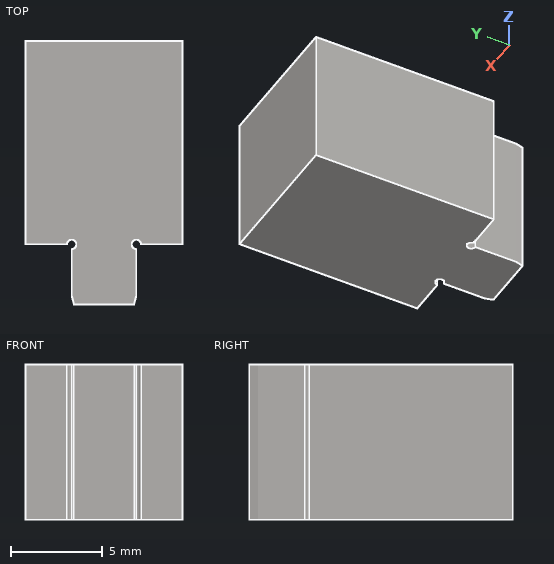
import cadquery as cq
import math

body_width = 8.64
body_depth = 11.18
height = 8.53

overall_depth = 14.48
tongue_depth = overall_depth - body_depth
tongue_width = 3.556
tip_inset = 0.127
tip_angle = 15.0
tip_taper_depth = tip_inset / math.tan(math.radians(tip_angle))

relief_radius = 0.254


def make_body():
    """Block whose -Y face, the shoulder, lies at Y = 0."""
    return cq.Workplane("XY").rect(body_width, body_depth).extrude(height).translate((0, body_depth / 2, 0))


def make_tongue():
    """Full-height tongue reaching from the shoulder toward -Y."""
    half_width = tongue_width / 2
    half_tip = half_width - tip_inset
    taper_start = tip_taper_depth - tongue_depth
    outline = [
        (-half_width, 0),
        (-half_width, taper_start),
        (-half_tip, -tongue_depth),
        (half_tip, -tongue_depth),
        (half_width, taper_start),
        (half_width, 0),
    ]
    return cq.Workplane("XY").polyline(outline).close().extrude(height)


def make_reliefs():
    """Pair of full-height cylinders centred on the inside corners."""
    corners = [(side * tongue_width / 2, 0) for side in (-1, 1)]
    return cq.Workplane("XY").pushPoints(corners).circle(relief_radius).extrude(height)


result = make_body().union(make_tongue()).cut(make_reliefs())